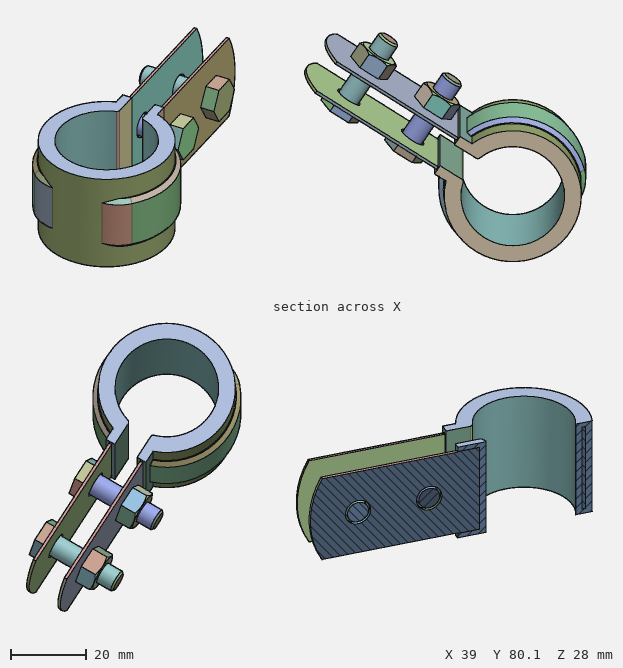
import cadquery as cq
import math

BORE_RADIUS = 13.6
RING_RADIUS = 18.0
RING_HEIGHT = 28.0
GAP_HALF = 3.45
LUG_THICKNESS = 2.7
LUG_TOP_Y = 20.6
BORE_EDGE_FILLET = 0.8
LUG_MID_X = GAP_HALF + LUG_THICKNESS / 2
LUG_OUTER_X = GAP_HALF + LUG_THICKNESS

WIDTH_OVER_PADS = 39.0
PAD_RADIUS = WIDTH_OVER_PADS / 2
PAD_HEIGHT = 15.3
PAD_CHAMFER = 1.2
PAD_BLEND_ANGLE = 222.0
PAD_BLEND_RADIUS = 10.25

STRAP_THICKNESS = 0.8
STRAP_WIDTH = 25.0
OVERALL_LENGTH = 80.1
STRAP_END_Y = OVERALL_LENGTH - RING_RADIUS
STRAP_END_RADIUS = STRAP_WIDTH
STRAP_RADIUS = (BORE_RADIUS + RING_RADIUS) / 2
STRAP_INNER_X = LUG_MID_X - STRAP_THICKNESS / 2
STRAP_OUTER_X = LUG_MID_X + STRAP_THICKNESS / 2
STRAP_HOLE_DIAMETER = 7.0

FIRST_BOLT_Y = 28.6
BOLT_SPACING = 20.0
BOLT_POSITIONS = [FIRST_BOLT_Y, FIRST_BOLT_Y + BOLT_SPACING]
BOLT_DIAMETER = 6.0
BOLT_TIP_X = -14.9
BOLT_TIP_CHAMFER = 0.6
HEX_SIDES = 6
HEX_ACROSS_FLATS = 10.0
HEX_ACROSS_CORNERS = HEX_ACROSS_FLATS / math.cos(math.pi / HEX_SIDES)
HEAD_HEIGHT = 3.9
NUT_HEIGHT = 4.8
NUT_FACE_DIAMETER = 9.85
NUT_CHAMFER_ANGLE = 30.0


def polar(radius, degrees):
    """Offset vector in the XY plane."""
    angle = math.radians(degrees)
    return cq.Vector(radius * math.cos(angle), radius * math.sin(angle))


def centred_box(x_min, x_max, y_min, y_max, height):
    """Box given by its X and Y limits, centred on Z = 0."""
    return (
        cq.Workplane("XY")
        .box(x_max - x_min, y_max - y_min, height, centered=(False, False, True))
        .translate((x_min, y_min, 0))
    )


def centred_disc(radius, height):
    """Cylinder on the ring axis, centred on Z = 0."""
    return cq.Workplane("XY").circle(radius).extrude(height / 2, both=True)


def make_left_pad():
    """Raised pad from the left lug round to where it fades into the ring."""
    lug_angle = 180 - math.degrees(math.acos(LUG_MID_X / PAD_RADIUS))
    blend_centre = polar(PAD_RADIUS - PAD_BLEND_RADIUS, PAD_BLEND_ANGLE)
    end_angle = 270 + math.degrees(math.asin((-LUG_MID_X - blend_centre.x) / PAD_BLEND_RADIUS))
    blend_middle = blend_centre + polar(PAD_BLEND_RADIUS, (PAD_BLEND_ANGLE + end_angle) / 2)
    blend_end = blend_centre + polar(PAD_BLEND_RADIUS, end_angle)

    pad_start = polar(PAD_RADIUS, lug_angle)
    pad_middle = polar(PAD_RADIUS, (lug_angle + PAD_BLEND_ANGLE) / 2)
    blend_start = polar(PAD_RADIUS, PAD_BLEND_ANGLE)
    return (
        cq.Workplane("XY")
        .moveTo(pad_start.x, pad_start.y)
        .threePointArc((pad_middle.x, pad_middle.y), (blend_start.x, blend_start.y))
        .threePointArc((blend_middle.x, blend_middle.y), (blend_end.x, blend_end.y))
        .close()
        .extrude(PAD_HEIGHT / 2, both=True)
        .faces("<Z or >Z")
        .chamfer(PAD_CHAMFER)
        .cut(centred_disc(STRAP_RADIUS, PAD_HEIGHT))
    )


def make_strap():
    """Open band with two parallel ears, each with a rounded end and bolt holes."""
    band = centred_disc(STRAP_RADIUS + STRAP_THICKNESS / 2, STRAP_WIDTH)
    band = band.cut(centred_disc(STRAP_RADIUS - STRAP_THICKNESS / 2, STRAP_WIDTH))
    band = band.cut(centred_box(-STRAP_INNER_X, STRAP_INNER_X, 0, RING_RADIUS, STRAP_WIDTH))

    half_width = STRAP_WIDTH / 2
    ear_start_y = math.sqrt(STRAP_RADIUS**2 - LUG_MID_X**2)
    end_rise = STRAP_END_RADIUS - math.sqrt(STRAP_END_RADIUS**2 - half_width**2)
    corner_y = STRAP_END_Y - end_rise
    for ear_x in (-STRAP_OUTER_X, STRAP_INNER_X):
        ear = (
            cq.Workplane("YZ", origin=(ear_x, 0, 0))
            .moveTo(ear_start_y, -half_width)
            .lineTo(corner_y, -half_width)
            .threePointArc((STRAP_END_Y, 0), (corner_y, half_width))
            .lineTo(ear_start_y, half_width)
            .close()
            .extrude(STRAP_THICKNESS)
        )
        band = band.union(ear)

    holes = (
        cq.Workplane("YZ")
        .pushPoints([(y, 0) for y in BOLT_POSITIONS])
        .circle(STRAP_HOLE_DIAMETER / 2)
        .extrude(LUG_OUTER_X, both=True)
    )
    return band.cut(holes)


def make_cushion(strap):
    """Split ring with lugs and pads, hollowed where the strap lies in it."""
    ring = centred_disc(RING_RADIUS, RING_HEIGHT)
    ring = ring.union(centred_box(-LUG_OUTER_X, LUG_OUTER_X, 0, LUG_TOP_Y, RING_HEIGHT))
    ring = ring.cut(centred_disc(BORE_RADIUS, RING_HEIGHT))
    ring = ring.cut(centred_box(-GAP_HALF, GAP_HALF, 0, LUG_TOP_Y, RING_HEIGHT))

    bore_edge_y = math.sqrt(BORE_RADIUS**2 - GAP_HALF**2)
    for x in (-GAP_HALF, GAP_HALF):
        bore_edge = cq.selectors.NearestToPointSelector((x, bore_edge_y, 0))
        ring = ring.edges("|Z").edges(bore_edge).fillet(BORE_EDGE_FILLET)

    left_pad = make_left_pad()
    ring = ring.union(left_pad).union(left_pad.mirror("YZ"))
    return ring.cut(strap)


def make_bolt(y):
    """Hex-head bolt along X, its head against the right ear."""
    shank_end = STRAP_OUTER_X
    shank = (
        cq.Workplane("YZ", origin=(BOLT_TIP_X, y, 0))
        .circle(BOLT_DIAMETER / 2)
        .extrude(shank_end - BOLT_TIP_X)
        .faces("<X")
        .chamfer(BOLT_TIP_CHAMFER)
    )
    head = (
        cq.Workplane("YZ", origin=(shank_end, y, 0))
        .polygon(HEX_SIDES, HEX_ACROSS_CORNERS)
        .extrude(HEAD_HEIGHT)
    )
    return shank.union(head)


def make_nut(y):
    """Hex nut against the left ear, corners chamfered on its outer face."""
    nut = (
        cq.Workplane("YZ", origin=(-STRAP_OUTER_X, y, 0))
        .polygon(HEX_SIDES, HEX_ACROSS_CORNERS)
        .extrude(-NUT_HEIGHT)
    )
    face_radius = NUT_FACE_DIAMETER / 2
    base_radius = face_radius + NUT_HEIGHT / math.tan(math.radians(NUT_CHAMFER_ANGLE))
    corner_cone = cq.Solid.makeCone(
        base_radius, face_radius, NUT_HEIGHT, cq.Vector(-STRAP_OUTER_X, y, 0), cq.Vector(-1, 0, 0)
    )
    bore = (
        cq.Workplane("YZ", origin=(-STRAP_OUTER_X, y, 0))
        .circle(BOLT_DIAMETER / 2)
        .extrude(-NUT_HEIGHT)
    )
    return nut.intersect(cq.Workplane(corner_cone)).cut(bore)


strap = make_strap()
cushion = make_cushion(strap)
bolts = [make_bolt(y) for y in BOLT_POSITIONS]
nuts = [make_nut(y) for y in BOLT_POSITIONS]

result = cq.Compound.makeCompound(
    [cushion.val(), strap.val()] + [bolt.val() for bolt in bolts] + [nut.val() for nut in nuts]
)